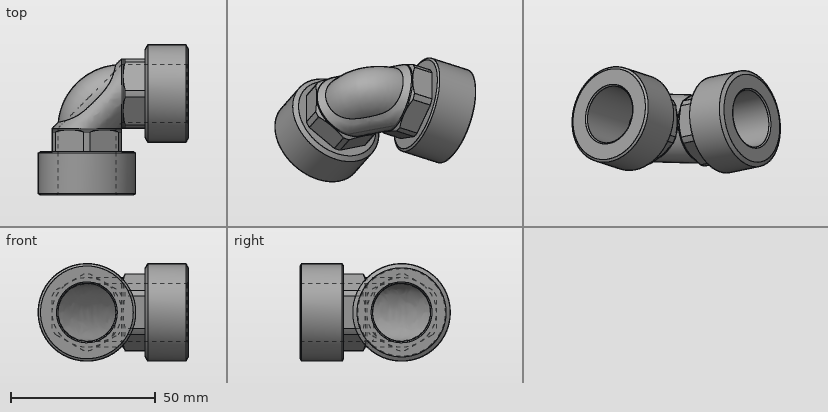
import cadquery as cq
import math

leg_length = 35.0
body_diameter = 24.0
bend_tube_diameter = 20.0
bore_diameter = 20.0
bore_mouth_diameter = 21.0

neck_diameter = 24.0
neck_length = 0.5
hex_sides = 6
hex_across_flats = 24.0
hex_corner_diameter = 26.5
hex_chamfer_angle = 30.0

collar_diameter = 33.7
collar_length = 15.0

front_inner_chamfer = (0.5, 0.85)
front_outer_chamfer = (0.5, 0.85)
side_inner_chamfer = (1.0, 1.75)
side_outer_chamfer = (0.85, 1.47)

body_radius = body_diameter / 2
collar_radius = collar_diameter / 2
bore_radius = bore_diameter / 2
body_end = body_radius
hex_start = body_end + neck_length
collar_start = leg_length - collar_length


def revolve_leg_profile(points):
    """Turn (radius, distance) points about the axis of the -Y leg."""
    outline = [(radius, -distance) for radius, distance in points]
    return cq.Workplane("XY").polyline(outline).close().revolve(360, (0, 0), (0, 1))


def cylinder_on_leg(diameter, start, end):
    radius = diameter / 2
    return revolve_leg_profile([(0, start), (radius, start), (radius, end), (0, end)])


def make_hexagon():
    """Hexagon with turned corners and a conical chamfer at its elbow end."""
    half_sector = 180 / hex_sides
    across_corners = hex_across_flats / math.cos(math.radians(half_sector))
    prism = (
        cq.Workplane("XZ", origin=(0, -hex_start, 0))
        .polygon(hex_sides, across_corners)
        .extrude(collar_start - hex_start)
        .rotate((0, 0, 0), (0, 1, 0), half_sector)
    )
    face_radius = hex_across_flats / 2
    corner_radius = hex_corner_diameter / 2
    chamfer_length = (corner_radius - face_radius) * math.tan(math.radians(hex_chamfer_angle))
    turned_blank = revolve_leg_profile([
        (0, hex_start),
        (face_radius, hex_start),
        (corner_radius, hex_start + chamfer_length),
        (corner_radius, collar_start),
        (0, collar_start),
    ])
    return prism.intersect(turned_blank)


def make_collar(inner_chamfer, outer_chamfer):
    inner_length, inner_depth = inner_chamfer
    outer_length, outer_depth = outer_chamfer
    return revolve_leg_profile([
        (0, collar_start),
        (collar_radius - inner_depth, collar_start),
        (collar_radius, collar_start + inner_length),
        (collar_radius, leg_length - outer_length),
        (collar_radius - outer_depth, leg_length),
        (0, leg_length),
    ])


def make_leg(inner_chamfer, outer_chamfer):
    """Solid leg along -Y: neck, hexagon and collar."""
    neck = cylinder_on_leg(neck_diameter, body_end, hex_start)
    return neck.union(make_hexagon()).union(make_collar(inner_chamfer, outer_chamfer))


def make_bore():
    """Bore of the -Y leg, up to the elbow body, with a chamfered mouth."""
    mouth_radius = bore_mouth_diameter / 2
    mouth_depth = mouth_radius - bore_radius
    return revolve_leg_profile([
        (0, body_end),
        (bore_radius, body_end),
        (bore_radius, leg_length - mouth_depth),
        (mouth_radius, leg_length),
        (0, leg_length),
    ])


def to_side_leg(shape):
    """Carry the -Y leg over to +X by a quarter turn about Z."""
    return shape.rotate((0, 0, 0), (0, 0, 1), 90)


def make_diagonal_link(diameter):
    """Oblique cylinder joining equal circles on the end planes of both legs.

    It runs at 45 degrees, so its cross-section is an ellipse narrowed by the square root of two.
    """
    radius = diameter / 2
    rod_length = 4 * body_diameter
    start = cq.Vector(0, -body_end, 0) - cq.Vector(1, 1, 0).normalized() * (rod_length / 2)
    section = cq.Plane(origin=start.toTuple(), xDir=(-1, 1, 0), normal=(1, 1, 0))
    rod = cq.Workplane(section).ellipse(radius / math.sqrt(2), radius).extrude(rod_length)
    between_legs = cq.Workplane("XY").box(2 * body_end, 2 * body_end, body_diameter)
    return rod.intersect(between_legs)


def make_bend(tube_diameter):
    """Quarter torus from the end of one leg to the end of the other."""
    return (
        cq.Workplane("XZ", origin=(0, -body_end, 0))
        .circle(tube_diameter / 2)
        .revolve(90, (body_end, 0), (body_end, -1))
    )


front_bore = make_bore()
front_leg = make_leg(front_inner_chamfer, front_outer_chamfer).cut(front_bore)
side_leg = to_side_leg(make_leg(side_inner_chamfer, side_outer_chamfer).cut(front_bore))
elbow_body = (
    make_diagonal_link(body_diameter)
    .union(make_bend(bend_tube_diameter))
    .cut(make_diagonal_link(bore_diameter))
    .mirror("XY")
)
result = elbow_body.union(front_leg).union(side_leg)